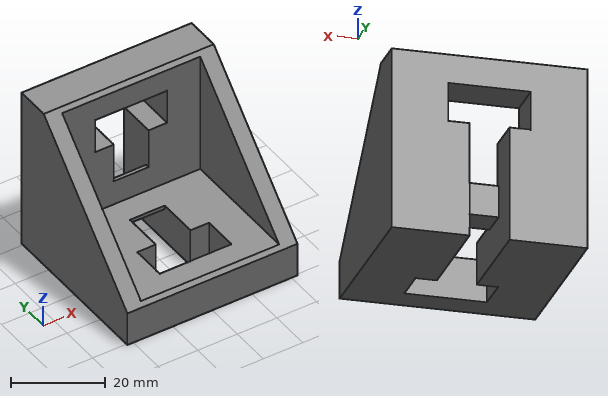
import cadquery as cq

width = 43.0
leg = 41.0
edge_height = 8.6
side_wall = 4.05
leg_thickness = 9.55

stem_width = 8.77
bar_width = 18.15
stem_start = 15.8
bar_start = 25.75
bar_end = 34.45
channel_depth = 8.6



def bracket_body():
    """Square corner block with its front upper corner cut off at 45 degrees."""
    outline = [
        (0, 0),
        (leg, 0),
        (leg, leg),
        (leg - edge_height, leg),
        (0, edge_height),
    ]
    return cq.Workplane("YZ").polyline(outline).close().extrude(width / 2, both=True)


def pocket():
    """Space between the cheeks, in front of the back wall and above the floor."""
    pocket_width = width - 2 * side_wall
    size = leg - leg_thickness
    floor_level = cq.Workplane("XY").workplane(offset=leg_thickness)
    return floor_level.box(pocket_width, size, size, centered=(True, False, False))


def t_opening(plane):
    """T-shaped prism whose local y axis runs away from the outer corner."""
    outline = [
        (-stem_width / 2, stem_start),
        (stem_width / 2, stem_start),
        (stem_width / 2, bar_start),
        (bar_width / 2, bar_start),
        (bar_width / 2, bar_end),
        (-bar_width / 2, bar_end),
        (-bar_width / 2, bar_start),
        (-stem_width / 2, bar_start),
    ]
    return cq.Workplane(plane).polyline(outline).close().extrude(leg_thickness)


def corner_channel(plane):
    """Channel of stem width in an outer face, leaving a thin lip at the stem's inner end."""
    outline = cq.Workplane(plane).rect(stem_width, 2 * stem_start)
    return outline.extrude(channel_depth)


outer_corner = (0, leg, 0)
floor_plane = cq.Plane(origin=outer_corner, xDir=(-1, 0, 0), normal=(0, 0, 1))
back_plane = cq.Plane(origin=outer_corner, xDir=(1, 0, 0), normal=(0, -1, 0))

result = bracket_body().cut(pocket())
for leg_plane in (floor_plane, back_plane):
    result = result.cut(t_opening(leg_plane)).cut(corner_channel(leg_plane))